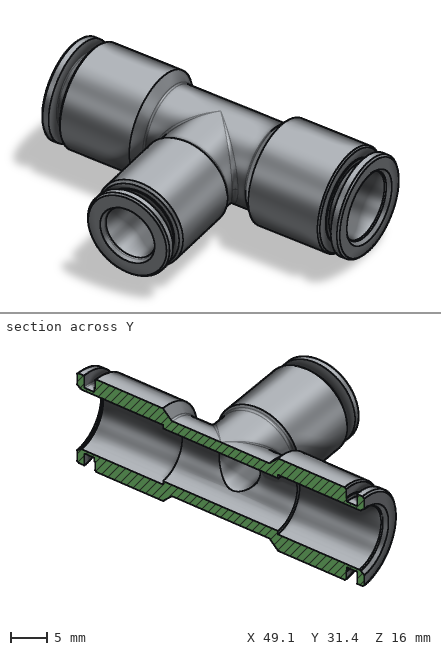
import cadquery as cq
import math

RUN_REACH = 24.55
BRANCH_REACH = 23.45
HUB_DIA = 13.0
CROTCH_RADIUS = 0.6

COLLAR_CHAMFER = 0.3
NECK_RADIUS = 0.15
LEAD_IN_DEPTH = 0.6
LEAD_IN_EASE_DEPTH = 0.25
LEAD_IN_EASE_HEIGHT = 0.1

RUN_BODY_DIA = 16.0
RUN_BODY_CHAMFER = 0.25
RUN_BODY_FACE_SETBACK = 3.1
RUN_BODY_START_SETBACK = 14.75
RUN_TAPER = 1.35
RUN_FILLET_LENGTH = 0.3
RUN_COLLAR_DIA = 15.5
RUN_COLLAR_THICKNESS = 1.3
RUN_NECK_DIA = 11.4
RUN_LIP_DIA = 12.6
RUN_LIP_LENGTH = 0.15
RUN_MOUTH_DIA = 11.35
RUN_SOCKET_DIA = 10.15
RUN_BORE_DIA = 9.0

BRANCH_BODY_DIA = 14.0
BRANCH_BODY_CHAMFER = 0.4
BRANCH_BODY_FACE_SETBACK = 2.95
BRANCH_BODY_START_SETBACK = 14.6
BRANCH_TAPER = 0.3
BRANCH_FILLET_LENGTH = 0.45
BRANCH_COLLAR_DIA = 13.5
BRANCH_COLLAR_THICKNESS = 1.2
BRANCH_NECK_DIA = 9.4
BRANCH_LIP_DIA = 11.65
BRANCH_LIP_LENGTH = 0.25
BRANCH_MOUTH_DIA = 9.0
BRANCH_SOCKET_DIA = 8.15
BRANCH_BORE_DIA = 7.0


def port_shell(reach, body_dia, body_chamfer, face_setback, start_setback, taper, fillet_length,
               collar_dia, collar_thickness, neck_dia, lip_dia, lip_length):
    """Solid outside of a port along +X, from the tee centre to its end.

    The body's inner end tapers at 45 degrees. A fillet then runs down from the taper,
    ending tangent to the hub.
    """
    hub_r = HUB_DIA / 2
    body_r = body_dia / 2
    collar_r = collar_dia / 2
    neck_r = neck_dia / 2
    lip_r = lip_dia / 2
    body_face = reach - face_setback
    body_start = reach - start_setback
    collar_start = reach - collar_thickness

    fillet_top = (body_start - taper, body_r - taper)
    fillet_foot = (fillet_top[0] - fillet_length, hub_r)

    fillet_height = fillet_top[1] - hub_r
    fillet_radius = (fillet_length**2 + fillet_height**2) / (2 * fillet_height)
    half_sweep = math.atan2(fillet_height, fillet_length)
    fillet_middle = (
        fillet_foot[0] + fillet_radius * math.sin(half_sweep),
        hub_r + fillet_radius * (1 - math.cos(half_sweep)),
    )
    return (
        cq.Workplane("XY")
        .lineTo(0, hub_r)
        .lineTo(*fillet_foot)
        .threePointArc(fillet_middle, fillet_top)
        .lineTo(body_start, body_r)
        .lineTo(body_face - body_chamfer, body_r)
        .lineTo(body_face, body_r - body_chamfer)
        .lineTo(body_face, lip_r)
        .lineTo(body_face + lip_length, lip_r)
        .lineTo(body_face + lip_length, neck_r)
        .lineTo(collar_start - NECK_RADIUS, neck_r)
        .radiusArc((collar_start, neck_r + NECK_RADIUS), -NECK_RADIUS)
        .lineTo(collar_start, collar_r)
        .lineTo(reach - COLLAR_CHAMFER, collar_r)
        .lineTo(reach, collar_r - COLLAR_CHAMFER)
        .lineTo(reach, 0)
        .close()
        .revolve(360, (0, 0, 0), (1, 0, 0))
    )


def port_passage(reach, start_setback, mouth_dia, socket_dia, bore_dia):
    """Bore from the tee centre, tube socket and lead-in of a port along +X.

    The socket is closed off by the smaller bore: it stops where the body's taper begins.
    """
    bore_r = bore_dia / 2
    socket_r = socket_dia / 2
    socket_floor = reach - start_setback
    lead_in_start = reach - LEAD_IN_DEPTH
    return (
        cq.Workplane("XY")
        .lineTo(0, bore_r)
        .lineTo(socket_floor, bore_r)
        .lineTo(socket_floor, socket_r)
        .lineTo(lead_in_start - LEAD_IN_EASE_DEPTH, socket_r)
        .lineTo(lead_in_start, socket_r + LEAD_IN_EASE_HEIGHT)
        .lineTo(reach, mouth_dia / 2)
        .lineTo(reach, 0)
        .close()
        .revolve(360, (0, 0, 0), (1, 0, 0))
    )


def to_branch(solid):
    """Turn a port from +X to -Y."""
    return solid.rotate((0, 0, 0), (0, 0, 1), -90)


run_shell = port_shell(
    RUN_REACH, RUN_BODY_DIA, RUN_BODY_CHAMFER, RUN_BODY_FACE_SETBACK, RUN_BODY_START_SETBACK,
    RUN_TAPER, RUN_FILLET_LENGTH, RUN_COLLAR_DIA, RUN_COLLAR_THICKNESS, RUN_NECK_DIA,
    RUN_LIP_DIA, RUN_LIP_LENGTH,
)
branch_shell = to_branch(port_shell(
    BRANCH_REACH, BRANCH_BODY_DIA, BRANCH_BODY_CHAMFER, BRANCH_BODY_FACE_SETBACK,
    BRANCH_BODY_START_SETBACK, BRANCH_TAPER, BRANCH_FILLET_LENGTH, BRANCH_COLLAR_DIA,
    BRANCH_COLLAR_THICKNESS, BRANCH_NECK_DIA, BRANCH_LIP_DIA, BRANCH_LIP_LENGTH,
))
run_passage = port_passage(
    RUN_REACH, RUN_BODY_START_SETBACK, RUN_MOUTH_DIA, RUN_SOCKET_DIA, RUN_BORE_DIA
)
branch_passage = to_branch(port_passage(
    BRANCH_REACH, BRANCH_BODY_START_SETBACK, BRANCH_MOUTH_DIA, BRANCH_SOCKET_DIA, BRANCH_BORE_DIA
))

shell = run_shell.union(run_shell.mirror("YZ")).union(branch_shell)

mitre_edges = cq.selectors.BoxSelector(
    (-HUB_DIA / 2, -HUB_DIA / 2, -HUB_DIA / 2),
    (HUB_DIA / 2, 0, HUB_DIA / 2),
)
shell = shell.edges("%ELLIPSE").edges(mitre_edges).fillet(CROTCH_RADIUS)
result = shell.cut(run_passage).cut(run_passage.mirror("YZ")).cut(branch_passage)